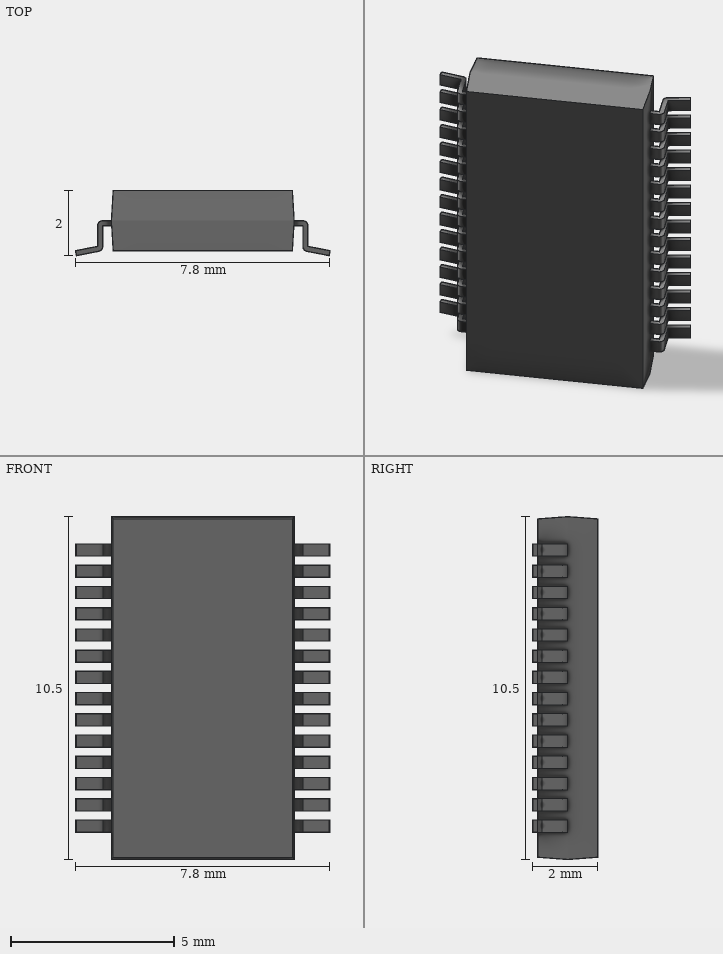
import cadquery as cq
import math


parting_width = 5.6
parting_length = 10.5
side_draft = 0.055
end_draft = 0.07
top_y = 2.0
standoff = 0.15
parting_y = (top_y + standoff) / 2

leads_per_side = 14
fixed_right_leads = 7
lead_pitch = 0.65
lead_width = 0.38
lead_thickness = 0.16
lead_span = 7.8
shank_outer_x = 3.22
foot_angle = math.radians(11)
lead_embed = 0.3


def make_half_moulding(face_y):
    """Tapered half of the moulding, from the parting plane to the face at face_y."""
    return (
        cq.Workplane("XZ", origin=(0, parting_y, 0))
        .rect(parting_width, parting_length)
        .workplane(offset=parting_y - face_y)
        .rect(parting_width - 2 * side_draft, parting_length - 2 * end_draft)
        .loft()
    )


def make_lead():
    """Gull-wing lead on the +X side, centred on Z = 0."""
    root_x = parting_width / 2 - lead_embed
    shank_inner_x = shank_outer_x - lead_thickness
    shoulder_under_y = parting_y - lead_thickness
    tip_x = lead_span / 2

    across_x = -lead_thickness * math.sin(foot_angle)
    across_y = -lead_thickness * math.cos(foot_angle)
    tip_top_y = -across_y
    knee_y = tip_top_y + (tip_x - shank_outer_x) * math.tan(foot_angle)

    shoulder_mid = lead_thickness * math.sqrt(0.5)
    heel_mid_angle = (math.pi / 2 - foot_angle) / 2
    heel_mid_x = shank_outer_x - lead_thickness * math.cos(heel_mid_angle)
    heel_mid_y = knee_y - lead_thickness * math.sin(heel_mid_angle)

    return (
        cq.Workplane("XY", origin=(0, 0, -lead_width / 2))
        .moveTo(root_x, parting_y)
        .lineTo(shank_inner_x, parting_y)
        .threePointArc(
            (shank_inner_x + shoulder_mid, shoulder_under_y + shoulder_mid),
            (shank_outer_x, shoulder_under_y),
        )
        .lineTo(shank_outer_x, knee_y)
        .lineTo(tip_x, tip_top_y)
        .lineTo(tip_x + across_x, 0)
        .lineTo(shank_outer_x + across_x, knee_y + across_y)
        .threePointArc((heel_mid_x, heel_mid_y), (shank_inner_x, knee_y))
        .lineTo(shank_inner_x, shoulder_under_y)
        .lineTo(root_x, shoulder_under_y)
        .close()
        .extrude(lead_width)
    )


def make_moulding():
    """Two tapered halves joined at the parting plane."""
    return make_half_moulding(top_y).union(make_half_moulding(standoff))


def lead_z(index):
    """Height of a lead's centre, counted from the lowest lead."""
    return (index - (leads_per_side - 1) / 2) * lead_pitch


moulding = make_moulding()
right_lead = make_lead()
left_lead = right_lead.mirror("YZ")

package = moulding
for index in range(leads_per_side):
    package = package.union(left_lead.translate((0, 0, lead_z(index))))
for index in range(fixed_right_leads):
    package = package.union(right_lead.translate((0, 0, lead_z(index))))

separate_lead = right_lead.cut(moulding)
separate_leads = []
for index in range(fixed_right_leads, leads_per_side):
    lead = separate_lead.translate((0, 0, lead_z(index)))
    separate_leads.append(lead.solids().val())

result = cq.Compound.makeCompound([package.solids().val(), *separate_leads])